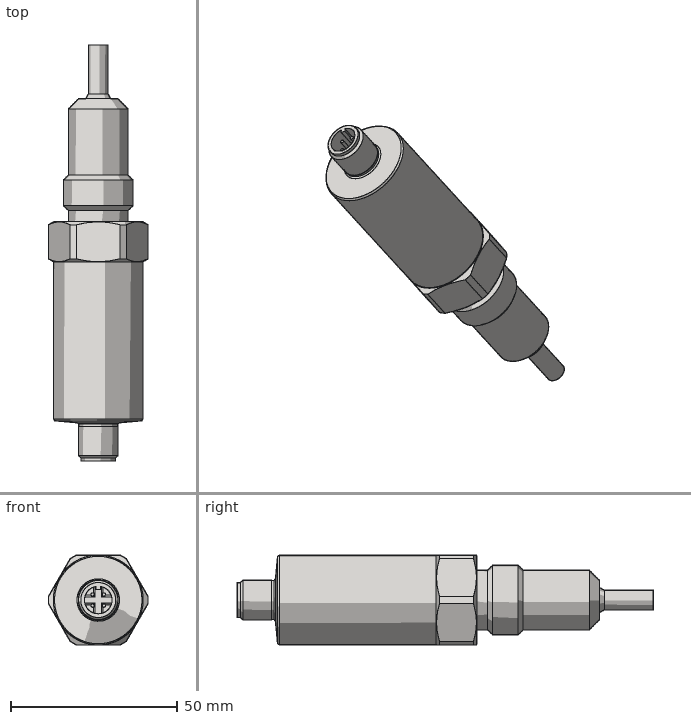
import cadquery as cq
import math

TOTAL_LENGTH = 125.1

PLUG_DIA = 12.0
NOSE_DIA = 10.5
NOSE_SHOULDER = 1.0
NOSE_TAPER_END = 1.8
PLUG_BASE_FLARE = 0.4
UNDERCUT_DIA = 11.8
UNDERCUT_START = 10.4

SOCKET_DIA = 8.3
SOCKET_DEPTH = 7.5
CROSS_TOP_WIDTH = 1.9
CROSS_ROOT_WIDTH = 2.9
KEY_WIDTH = 1.3
KEY_HEIGHT = 1.0
PIN_DIA = 1.0
PIN_COUNT = 4
PIN_CIRCLE_DIA = 4.8
PIN_TIP = 2.3

BODY_DIA = 27.0
BODY_FACE_DIA = 26.3
BODY_CONE_TIP = 11.5
BODY_RIM = 12.1
BODY_START = 12.8

HEX_FLATS = 27.0
HEX_CORNER_DIA = 30.0
HEX_START = 59.8
HEX_END = 72.0
HEX_CHAMFER_DIA = 26.5
HEX_CHAMFER_ANGLE = 30.0

NECK_DIA = 18.0
COLLAR_DIA = 21.0
COLLAR_START = 75.3
COLLAR_END = 86.0
GLAND_TAPER_START = 105.8
GLAND_END = 109.0
CABLE_DIA = 6.0
CABLE_ROOT_DIA = 7.5
CABLE_ROOT_LENGTH = 1.4


def turned(points):
    """Solid of revolution about Y from (diameter, Y) points."""
    first_y = points[0][1]
    last_y = points[-1][1]
    outline = [(0, first_y)] + [(dia / 2, y) for dia, y in points] + [(0, last_y)]
    return cq.Workplane("XY").polyline(outline).close().revolve(360, (0, 0, 0), (0, 1, 0))


def bar(dia, start, end, x=0.0, z=0.0):
    """Round bar parallel to Y."""
    return cq.Workplane("XZ", origin=(x, start, z)).circle(dia / 2).extrude(start - end)


def plug_and_housing():
    return turned([
        (NOSE_DIA, 0),
        (NOSE_DIA, NOSE_SHOULDER),
        (PLUG_DIA, NOSE_TAPER_END),
        (PLUG_DIA, UNDERCUT_START),
        (UNDERCUT_DIA, UNDERCUT_START),
        (UNDERCUT_DIA, BODY_CONE_TIP - PLUG_BASE_FLARE),
        (PLUG_DIA + 2 * PLUG_BASE_FLARE, BODY_CONE_TIP),
        (BODY_FACE_DIA, BODY_RIM),
        (BODY_DIA, BODY_START),
        (BODY_DIA, HEX_START),
    ])


def hexagon():
    prism = (
        cq.Workplane("XZ", origin=(0, HEX_START, 0))
        .polygon(6, HEX_FLATS / math.cos(math.pi / 6))
        .extrude(HEX_START - HEX_END)
    )
    chamfer = (HEX_CORNER_DIA - HEX_CHAMFER_DIA) / 2 * math.tan(math.radians(HEX_CHAMFER_ANGLE))
    envelope = turned([
        (HEX_CHAMFER_DIA, HEX_START),
        (HEX_CORNER_DIA, HEX_START + chamfer),
        (HEX_CORNER_DIA, HEX_END - chamfer),
        (HEX_CHAMFER_DIA, HEX_END),
    ])
    return prism.intersect(envelope)


def neck_and_cable():
    collar_chamfer = (COLLAR_DIA - NECK_DIA) / 2
    gland_taper = GLAND_END - GLAND_TAPER_START
    return turned([
        (NECK_DIA, HEX_END),
        (NECK_DIA, COLLAR_START),
        (COLLAR_DIA, COLLAR_START + collar_chamfer),
        (COLLAR_DIA, COLLAR_END - collar_chamfer),
        (NECK_DIA, COLLAR_END),
        (NECK_DIA, GLAND_TAPER_START),
        (NECK_DIA - 2 * gland_taper, GLAND_END),
        (CABLE_ROOT_DIA, GLAND_END),
        (CABLE_DIA, GLAND_END + CABLE_ROOT_LENGTH),
        (CABLE_DIA, TOTAL_LENGTH),
    ])


def cross_rib():
    """Cross-shaped rib with 45-degree flanks on the socket floor."""
    top_y = SOCKET_DEPTH - (CROSS_ROOT_WIDTH - CROSS_TOP_WIDTH) / 2
    arm = (
        cq.Workplane("XY", origin=(0, 0, -SOCKET_DIA / 2))
        .moveTo(-CROSS_ROOT_WIDTH / 2, SOCKET_DEPTH)
        .lineTo(CROSS_ROOT_WIDTH / 2, SOCKET_DEPTH)
        .lineTo(CROSS_TOP_WIDTH / 2, top_y)
        .lineTo(-CROSS_TOP_WIDTH / 2, top_y)
        .close()
        .extrude(SOCKET_DIA)
    )
    return arm.union(arm.rotate((0, 0, 0), (0, 1, 0), 90))


def key():
    """Coding key along the top of the socket."""
    return (
        cq.Workplane("XY", origin=(0, SOCKET_DEPTH / 2, SOCKET_DIA / 2))
        .box(KEY_WIDTH, SOCKET_DEPTH, 2 * KEY_HEIGHT)
    )


def pin(index):
    """Contact pin, counted around the pin circle from 45 degrees."""
    angle = math.radians(45 + index * 360 / PIN_COUNT)
    radius = PIN_CIRCLE_DIA / 2
    return bar(PIN_DIA, PIN_TIP, SOCKET_DEPTH, radius * math.cos(angle), radius * math.sin(angle))


def socket():
    """Cavity of the plug: a bore less the key, the cross rib and the pins."""
    cavity = bar(SOCKET_DIA, 0, SOCKET_DEPTH).cut(key()).cut(cross_rib())
    for index in range(PIN_COUNT):
        cavity = cavity.cut(pin(index))
    return cavity


result = plug_and_housing().union(hexagon()).union(neck_and_cable()).cut(socket())